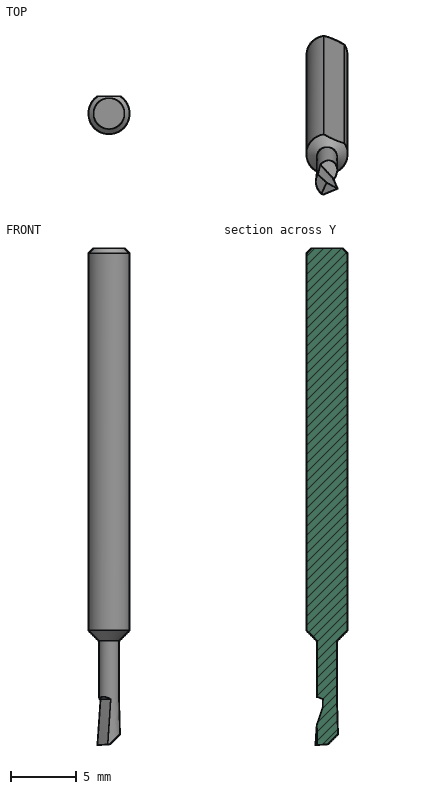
import cadquery as cq
import math


overall_length = 38.1
shank_radius = 3.175 / 2
flat_distance = 1.335
end_chamfer = 0.4

neck_radius = 0.78
cone_top_z = 8.8
cone_bottom_z = cone_top_z - (shank_radius - neck_radius)

head_top_z = 3.52
head_top_radius = neck_radius
tip_radius = 0.9

rake_start_top = (-0.66, -0.27)
rake_start_tip = (-tip_radius, 0.0)
rake_end_y_top = 0.33
rake_end_y_tip = 0.15
relief_end_x_top = 0.13
relief_end_x_tip = -0.1

end_relief_angle = 4.0
corner_cut_angle = 45.0

cutter_size = 4.0


def make_shank_and_neck():
    """Turned shank, cone and neck, with the clamping flat along the shank."""
    outline = [
        (0, head_top_z),
        (neck_radius, head_top_z),
        (neck_radius, cone_bottom_z),
        (shank_radius, cone_top_z),
        (shank_radius, overall_length - end_chamfer),
        (shank_radius - end_chamfer, overall_length),
        (0, overall_length),
    ]
    turned = cq.Workplane("XZ").polyline(outline).close().revolve(360, (0, 0), (0, 1))
    beyond_flat = cq.Workplane("XY").box(
        2 * shank_radius, shank_radius, overall_length, centered=(True, False, False)
    ).translate((0, flat_distance, 0))
    return turned.cut(beyond_flat)


def section_corners(radius, rake_start, rake_end_y, relief_end_x):
    """Corners of a head section: rake start, then rake end and relief end on the circle."""
    rake_end = (math.sqrt(radius**2 - rake_end_y**2), rake_end_y)
    relief_end = (relief_end_x, -math.sqrt(radius**2 - relief_end_x**2))
    return rake_start, rake_end, relief_end


def section_wire(z, radius, corners):
    """Rake line, round back and relief line of the head at one height."""
    rake_start, rake_end, relief_end = corners
    middle_angle = (
        math.atan2(rake_end[1], rake_end[0]) + math.atan2(relief_end[1], relief_end[0])
    ) / 2
    back_middle = (radius * math.cos(middle_angle), radius * math.sin(middle_angle))
    outline = (
        cq.Workplane("XY", origin=(0, 0, z))
        .moveTo(*rake_start)
        .lineTo(*rake_end)
        .threePointArc(back_middle, relief_end)
        .close()
    )
    return outline.val()


def make_runout(start, end):
    """Cutter whose 45 degree upper face rises outward from the line start-end on the head top."""
    along = (end[0] - start[0], end[1] - start[1], 0)
    outward = (-along[1], along[0], 0)
    plane = cq.Plane(origin=(*start, head_top_z), xDir=outward, normal=along)
    triangle = [(0, 0), (cutter_size, 0), (cutter_size, cutter_size)]
    return cq.Workplane(plane).polyline(triangle).close().extrude(cutter_size, both=True)


def make_lower_cutter(slope_angle, pivot):
    """Block below a plane through the pivot that rises toward +X at the slope angle."""
    block = cq.Workplane("XY").box(
        2 * cutter_size, 2 * cutter_size, cutter_size, centered=(True, True, False)
    ).translate((0, 0, -cutter_size))
    return block.rotate((0, 0, 0), (0, 1, 0), -slope_angle).translate(pivot)


top_corners = section_corners(head_top_radius, rake_start_top, rake_end_y_top, relief_end_x_top)
tip_corners = section_corners(tip_radius, rake_start_tip, rake_end_y_tip, relief_end_x_tip)

head_solid = cq.Solid.makeLoft(
    [
        section_wire(0, tip_radius, tip_corners),
        section_wire(head_top_z, head_top_radius, top_corners),
    ],
    True,
)
head = cq.Workplane(obj=head_solid)
head = head.cut(make_lower_cutter(end_relief_angle, (*rake_start_tip, 0)))
head = head.cut(make_lower_cutter(corner_cut_angle, (0, 0, 0)))

rake_start, rake_end, relief_end = top_corners
bar = make_shank_and_neck()
bar = bar.cut(make_runout(rake_start, rake_end))
bar = bar.cut(make_runout(relief_end, rake_start))

result = bar.union(head)